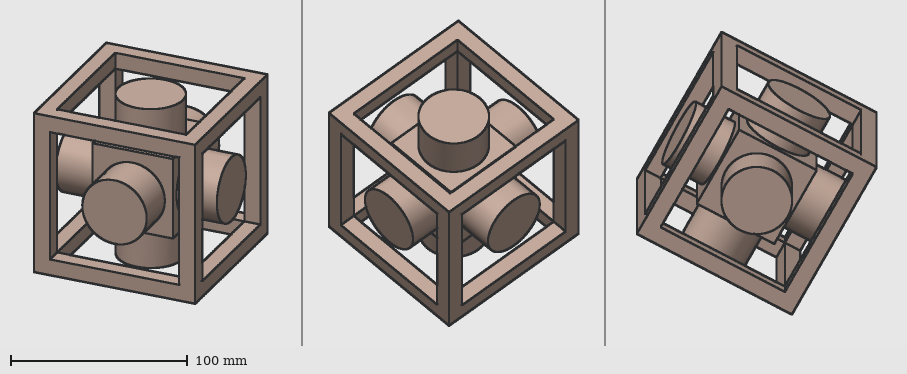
import cadquery as cq

frame_size = 100.0
bar_width = 10.0
core_size = 50.0
arm_diameter = 40.0
front_arm_drop = 2.25

opening_size = frame_size - 2 * bar_width
arm_reach = frame_size / 2

arm_directions = [
    (1, 0, 0),
    (-1, 0, 0),
    (0, 1, 0),
    (0, -1, 0),
    (0, 0, 1),
    (0, 0, -1),
]
front_direction = (0, -1, 0)


def make_frame():
    """Open cube of square bars: a block with a square window through each axis."""
    frame = cq.Workplane("XY").box(frame_size, frame_size, frame_size)
    windows = [
        (frame_size, opening_size, opening_size),
        (opening_size, frame_size, opening_size),
        (opening_size, opening_size, frame_size),
    ]
    for window_size in windows:
        frame = frame.cut(cq.Workplane("XY").box(*window_size))
    return frame


def make_arm(direction):
    """Round arm from the middle of the core out to the frame's outer face."""
    drop = front_arm_drop if direction == front_direction else 0.0
    base_plane = cq.Plane(origin=(0, 0, -drop), normal=direction)
    return cq.Workplane(base_plane).circle(arm_diameter / 2).extrude(arm_reach)


def make_hub():
    """Cubic core with one round arm on each of its six faces."""
    hub = cq.Workplane("XY").box(core_size, core_size, core_size)
    for direction in arm_directions:
        hub = hub.union(make_arm(direction))
    return hub


frame = make_frame()
hub = make_hub()

result = cq.Compound.makeCompound([frame.solids().val(), hub.solids().val()])